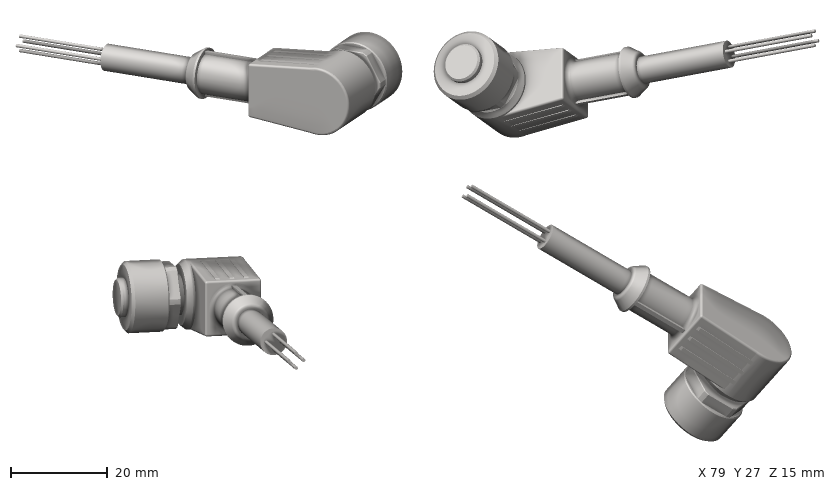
import cadquery as cq
import math


stripped_length = 20.0
cable_length = 20.0
cable_radius = 2.85
wire_radius = 0.355
wire_offset = 1.6
wire_count = 4

sleeve_radius = 4.35
sleeve_flare = 0.9
flange_radius = 5.4
flange_end_radius = 3.8
flange_length = 3.0
flange_rim_width = 0.5
flange_rounding = 0.8
key_width = 0.95
key_height = 4.9

housing_depth = 12.0
housing_radius = 7.35
housing_end_height = 11.6
housing_end_x = -15.95
wedge_meeting_x = -1.6
housing_rounding = 0.5
collar_top_y = 7.7
collar_bevel_height = 1.2
collar_bevel_width = 0.95

grip_start_x = -15.1
grip_ramp_length = 0.9
grip_width = 0.95
grip_pitch = 3.1
grip_slope = math.radians(5)

nut_radius = 7.5
nut_bottom_y = 11.5
nut_top_y = 19.5
nut_bevel = 0.6
nut_bottom_bevel = 0.2
hex_bottom_y = 9.0
hex_across_flats = 13.1
hex_corner_radius = 7.3
hex_bevel = 0.15
neck_radius = 4.3
insert_radius = 4.1
insert_bevel = 0.4
total_depth = 27.0
total_length = 79.0

housing_front_y = -housing_depth / 2
insert_top_y = housing_front_y + total_depth
wire_end_x = nut_radius - total_length
cable_end_x = wire_end_x + stripped_length
flange_end_x = cable_end_x + cable_length
flange_inner_x = flange_end_x + flange_length


def disc_along_x(radius, start, end):
    return cq.Workplane("YZ", origin=(start, 0, 0)).circle(radius).extrude(end - start)


def disc_along_y(radius, start, end):
    return cq.Workplane("XZ", origin=(0, start, 0)).circle(radius).extrude(start - end)


def make_wires():
    ring = cq.Workplane("YZ", origin=(wire_end_x, 0, 0)).polarArray(wire_offset, 0, 360, wire_count)
    return ring.circle(wire_radius).extrude(stripped_length + cable_radius)


def make_flange():
    rim_x = flange_inner_x - flange_rim_width
    profile = (
        cq.Workplane("XY")
        .moveTo(flange_end_x, 0)
        .lineTo(flange_end_x, flange_end_radius)
        .lineTo(rim_x, flange_radius)
        .lineTo(flange_inner_x, flange_radius)
        .lineTo(flange_inner_x, 0)
        .close()
    )
    flange = profile.revolve(360, (0, 0, 0), (1, 0, 0))
    return flange.faces("<X").edges().fillet(flange_rounding)


def make_sleeve():
    flare_start_x = housing_end_x - sleeve_flare
    arc_drop = sleeve_flare * math.sqrt(0.5)
    profile = (
        cq.Workplane("XY")
        .moveTo(flange_inner_x, 0)
        .lineTo(flange_inner_x, sleeve_radius)
        .lineTo(flare_start_x, sleeve_radius)
        .threePointArc(
            (flare_start_x + arc_drop, sleeve_radius + sleeve_flare - arc_drop),
            (housing_end_x, sleeve_radius + sleeve_flare),
        )
        .lineTo(0, sleeve_radius + sleeve_flare)
        .lineTo(0, 0)
        .close()
    )
    sleeve = profile.revolve(360, (0, 0, 0), (1, 0, 0))
    key_length = housing_end_x - flange_inner_x
    keys = cq.Workplane("XY").box(key_length, key_width, 2 * key_height)
    return sleeve.union(keys.translate((flange_inner_x + key_length / 2, 0, 0)))


def make_housing():
    end_half = housing_end_height / 2
    meeting_half = math.sqrt(housing_radius**2 - wedge_meeting_x**2)
    wedge = (
        cq.Workplane("XZ", origin=(0, housing_depth / 2, 0))
        .polyline([
            (housing_end_x, -end_half),
            (housing_end_x, end_half),
            (wedge_meeting_x, meeting_half),
            (wedge_meeting_x, -meeting_half),
        ])
        .close()
        .extrude(housing_depth)
    )
    wedge = wedge.edges("not >X").fillet(housing_rounding)

    barrel = disc_along_y(housing_radius, housing_front_y, collar_top_y)
    barrel = barrel.faces("<Y").edges().fillet(housing_rounding)
    barrel = barrel.faces(">Y").chamfer(collar_bevel_height, collar_bevel_width)
    return wedge.union(barrel)


def make_grip_rib():
    tangent_x = -housing_radius * math.sin(grip_slope)
    tangent_z = housing_radius * math.cos(grip_slope)
    ramp_end_x = grip_start_x + grip_ramp_length
    ramp_end_z = tangent_z - (tangent_x - ramp_end_x) * math.tan(grip_slope)
    ramp_start_z = housing_end_height / 2
    return (
        cq.Workplane("XZ", origin=(0, grip_width / 2, 0))
        .moveTo(grip_start_x, -ramp_start_z)
        .lineTo(grip_start_x, ramp_start_z)
        .lineTo(ramp_end_x, ramp_end_z)
        .lineTo(tangent_x, tangent_z)
        .lineTo(tangent_x, -tangent_z)
        .lineTo(ramp_end_x, -ramp_end_z)
        .close()
        .extrude(grip_width)
    )


def make_nut():
    nut = disc_along_y(nut_radius, nut_bottom_y, nut_top_y)
    nut = nut.faces(">Y").chamfer(nut_bevel).faces("<Y").chamfer(nut_bottom_bevel)

    hexagon = (
        cq.Workplane("XZ", origin=(0, hex_bottom_y, 0))
        .polygon(6, hex_across_flats / math.cos(math.pi / 6))
        .extrude(hex_bottom_y - nut_top_y + nut_bevel)
    )
    turned = disc_along_y(hex_corner_radius, hex_bottom_y, nut_top_y)
    hexagon = hexagon.intersect(turned).faces("<Y").chamfer(hex_bevel)
    return nut.union(hexagon)


def make_insert():
    neck = disc_along_y(neck_radius, 0, nut_bottom_y)
    insert = disc_along_y(insert_radius, nut_bottom_y, insert_top_y)
    return neck.union(insert.faces(">Y").chamfer(insert_bevel))


result = disc_along_x(cable_radius, cable_end_x, 0).union(make_wires())
result = result.union(make_flange()).union(make_sleeve()).union(make_housing())
for rib_y in (-grip_pitch, 0, grip_pitch):
    result = result.union(make_grip_rib().translate((0, rib_y, 0)))
result = result.union(make_insert()).union(make_nut())